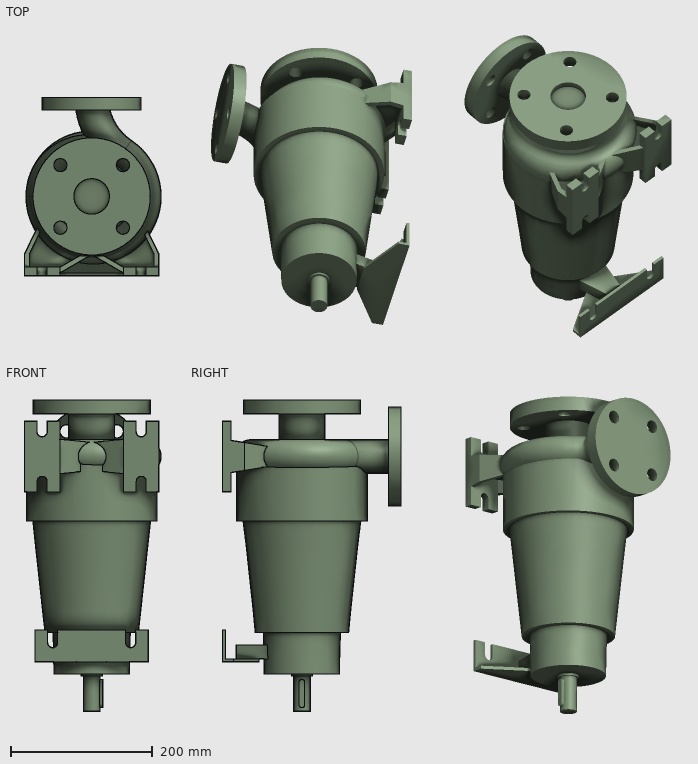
import cadquery as cq
import math


TOP = 440.0
CROWN_TOP = 376.5
DISCHARGE_Z = 360.0
CASING_SHOULDER = 363.5
CASING_BOTTOM = 269.0
LANTERN_BOTTOM = 111.5
BEARING_BOTTOM = 53.0
COLLAR_THICKNESS = 3.0

CASING_RADIUS = 92.5
CROWN_RADIUS = 57.5
LANTERN_TOP_RADIUS = 83.0
LANTERN_BOTTOM_RADIUS = 66.0
BEARING_TOP_RADIUS = 54.5
BEARING_BOTTOM_RADIUS = 53.2
COLLAR_RADIUS = 15.0
SHAFT_RADIUS = 12.0

KEY_WIDTH = 8.0
KEY_BOTTOM = 5.5
KEY_TOP = 45.5
KEY_SEAT = 7.0
KEY_REACH = 16.0

TUBE_RADIUS = 23.8
VOLUTE_CENTER_X = 2.5
VOLUTE_RADIUS = 71.5
TONGUE_RADIUS = 64.0
TONGUE_ANGLE = 120.0
DISCHARGE_Y = 140.0

SUCTION_PIPE_RADIUS = 32.5
SUCTION_FLANGE_RADIUS = 82.5
SUCTION_FLANGE_THICKNESS = 20.0
SUCTION_BOLT_CIRCLE_RADIUS = 62.5
SUCTION_BORE_RADIUS = 25.0
SUCTION_BORE_DEPTH = 9.5
DISCHARGE_FLANGE_RADIUS = 70.0
DISCHARGE_FLANGE_THICKNESS = 18.0
DISCHARGE_BOLT_CIRCLE_RADIUS = 50.0
BOLT_HOLE_DIAMETER = 18.5
BOLT_COUNT = 4

MOUNT_Y = -112.0
FOOT_OUTER_X = 95.0
FOOT_WIDTH = 50.0
FOOT_HEIGHT = 100.0
FOOT_THICKNESS = 12.5
SLOT_WIDTH = 14.0
FOOT_SLOT_DEPTH = 22.0

GUSSET_THICKNESS = 7.0
GUSSET_BEND_Y = -81.5
GUSSET_INNER_Y = -35.0
GUSSET_HALF_HEIGHT = 23.0
GUSSET_TAPER_ANGLE = 9.5
OUTER_GUSSET_ANGLE = 26.0
INNER_GUSSET_ANGLE = 30.0

BRACKET_HALF_WIDTH = 80.0
BRACKET_BOTTOM = 70.0
BRACKET_HEIGHT = 45.5
BRACKET_THICKNESS = 4.5
BRACKET_SLOT_X = 55.0
BRACKET_SLOT_DEPTH = 25.0
LEDGE_STRAIGHT_DEPTH = 16.0
LEDGE_INNER_Y = -60.5
LEDGE_INNER_HALF_WIDTH = 21.0
ARM_HEIGHT = 20.0
ARM_END_Y = -93.0
ARM_END_HALF_WIDTH = 12.8
ARM_ROOT_Y = -39.5
ARM_ROOT_HALF_WIDTH = 26.0


def extrude_outline(points, bottom, height):
    """Prism standing on the plane z = bottom over an XY outline."""
    return cq.Workplane("XY").workplane(offset=bottom).polyline(points).close().extrude(height)


def mirrored_in_x(points):
    """Outline closed by the mirror image of its right-hand half."""
    return points + [(-x, y) for x, y in reversed(points)]


def turned_body():
    collar_bottom = BEARING_BOTTOM - COLLAR_THICKNESS
    profile = [
        (0, 0),
        (SHAFT_RADIUS, 0),
        (SHAFT_RADIUS, collar_bottom),
        (COLLAR_RADIUS, collar_bottom),
        (COLLAR_RADIUS, BEARING_BOTTOM),
        (BEARING_BOTTOM_RADIUS, BEARING_BOTTOM),
        (BEARING_TOP_RADIUS, LANTERN_BOTTOM),
        (LANTERN_BOTTOM_RADIUS, LANTERN_BOTTOM),
        (LANTERN_TOP_RADIUS, CASING_BOTTOM),
        (CASING_RADIUS, CASING_BOTTOM),
        (CASING_RADIUS, CASING_SHOULDER),
        (CROWN_RADIUS, CROWN_TOP),
        (0, CROWN_TOP),
    ]
    return cq.Workplane("XZ").polyline(profile).close().revolve(360, (0, 0), (0, 1))


def shaft_key():
    return (
        cq.Workplane("YZ", origin=(KEY_SEAT, 0, (KEY_BOTTOM + KEY_TOP) / 2))
        .slot2D(KEY_TOP - KEY_BOTTOM, KEY_WIDTH, 90)
        .extrude(KEY_REACH - KEY_SEAT)
    )


def point_on_arc(center, radius, degrees):
    angle = math.radians(degrees)
    return (center[0] + radius * math.cos(angle), center[1] + radius * math.sin(angle))


def volute():
    """Round tube curling around the casing and bending out to the discharge flange."""
    main_center = (VOLUTE_CENTER_X, 0)
    tongue_center = (VOLUTE_CENTER_X - VOLUTE_RADIUS + TONGUE_RADIUS, 0)

    bend_radius = (DISCHARGE_Y**2 + VOLUTE_CENTER_X**2 - VOLUTE_RADIUS**2) / (
        2 * (VOLUTE_RADIUS + VOLUTE_CENTER_X)
    )
    bend_center = (bend_radius, DISCHARGE_Y)
    bend_angle = math.degrees(math.atan2(DISCHARGE_Y, bend_radius - VOLUTE_CENTER_X))

    tip = point_on_arc(tongue_center, TONGUE_RADIUS, 180 - TONGUE_ANGLE)
    tongue_middle = point_on_arc(tongue_center, TONGUE_RADIUS, 180 - TONGUE_ANGLE / 2)
    main_start = point_on_arc(main_center, VOLUTE_RADIUS, 180)
    main_middle = point_on_arc(main_center, VOLUTE_RADIUS, (bend_angle - 180) / 2)
    main_end = point_on_arc(main_center, VOLUTE_RADIUS, bend_angle)
    bend_middle = point_on_arc(bend_center, bend_radius, 180 + bend_angle / 2)
    outlet = (0, DISCHARGE_Y)

    def path():
        return cq.Workplane("XY", origin=(0, 0, DISCHARGE_Z)).moveTo(*main_start)

    def tube(along):
        section = cq.Workplane("XZ", origin=(*main_start, DISCHARGE_Z)).circle(TUBE_RADIUS)
        return section.sweep(along)

    tongue = tube(path().threePointArc(tongue_middle, tip))
    main_tube = tube(path().threePointArc(main_middle, main_end).threePointArc(bend_middle, outlet))
    return tongue.union(main_tube)


def flange(plane, radius, thickness, bolt_circle_radius):
    """Disc going back from its face, drilled with bolt holes midway between the plane axes."""
    disc = cq.Workplane(plane).circle(radius).extrude(-thickness)
    bolt_holes = (
        cq.Workplane(plane)
        .polarArray(bolt_circle_radius, 180 / BOLT_COUNT, 360, BOLT_COUNT)
        .circle(BOLT_HOLE_DIAMETER / 2)
        .extrude(-thickness)
    )
    return disc.cut(bolt_holes)


def suction_branch():
    pipe = (
        cq.Workplane("XY")
        .workplane(offset=CROWN_TOP)
        .circle(SUCTION_PIPE_RADIUS)
        .extrude(TOP - CROWN_TOP)
    )
    face = cq.Plane(origin=(0, 0, TOP), xDir=(1, 0, 0), normal=(0, 0, 1))
    disc = flange(face, SUCTION_FLANGE_RADIUS, SUCTION_FLANGE_THICKNESS, SUCTION_BOLT_CIRCLE_RADIUS)
    bore = cq.Workplane(face).circle(SUCTION_BORE_RADIUS).extrude(-SUCTION_BORE_DEPTH)
    return pipe.union(disc).cut(bore)


def discharge_flange():
    face = cq.Plane(origin=(0, DISCHARGE_Y, DISCHARGE_Z), xDir=(1, 0, 0), normal=(0, 1, 0))
    return flange(
        face, DISCHARGE_FLANGE_RADIUS, DISCHARGE_FLANGE_THICKNESS, DISCHARGE_BOLT_CIRCLE_RADIUS
    )


def edge_slot(x, edge_z, depth, inward, plate_thickness):
    """Cutter for a round-ended slot entering a mounting plate; inward is +1 up or -1 down."""
    half = SLOT_WIDTH / 2
    shoulder_z = edge_z + inward * (depth - half)
    return (
        cq.Workplane("XZ", origin=(0, MOUNT_Y, 0))
        .moveTo(x - half, edge_z)
        .lineTo(x - half, shoulder_z)
        .threePointArc((x, edge_z + inward * depth), (x + half, shoulder_z))
        .lineTo(x + half, edge_z)
        .close()
        .extrude(-plate_thickness)
    )


def right_foot():
    foot_x = FOOT_OUTER_X - FOOT_WIDTH / 2
    foot_center = (foot_x, MOUNT_Y + FOOT_THICKNESS / 2, DISCHARGE_Z)
    foot = cq.Workplane("XY", origin=foot_center).box(FOOT_WIDTH, FOOT_THICKNESS, FOOT_HEIGHT)
    for inward in (1, -1):
        edge_z = DISCHARGE_Z - inward * FOOT_HEIGHT / 2
        foot = foot.cut(edge_slot(foot_x, edge_z, FOOT_SLOT_DEPTH, inward, FOOT_THICKNESS))
    return foot


def right_gussets():
    """Bent outer and slanted inner plate, both lower toward the casing, with a flat web between."""
    foot_back_y = MOUNT_Y + FOOT_THICKNESS
    foot_inner_x = FOOT_OUTER_X - FOOT_WIDTH
    bottom = DISCHARGE_Z - FOOT_HEIGHT / 2

    lean = math.tan(math.radians(OUTER_GUSSET_ANGLE)) * (GUSSET_INNER_Y - GUSSET_BEND_Y)
    outer_face = [
        (FOOT_OUTER_X, foot_back_y),
        (FOOT_OUTER_X, GUSSET_BEND_Y),
        (FOOT_OUTER_X - lean, GUSSET_INNER_Y),
    ]
    inner_face = [(x - GUSSET_THICKNESS, y) for x, y in reversed(outer_face)]
    outer_plate = extrude_outline(outer_face + inner_face, bottom, FOOT_HEIGHT)

    rise = math.tan(math.radians(INNER_GUSSET_ANGLE)) * foot_inner_x
    drop = GUSSET_THICKNESS / math.cos(math.radians(INNER_GUSSET_ANGLE))
    inner_plate = extrude_outline(
        [
            (foot_inner_x, foot_back_y),
            (0, foot_back_y + rise),
            (0, foot_back_y + rise - drop),
            (foot_inner_x, foot_back_y - drop),
        ],
        bottom,
        FOOT_HEIGHT,
    )

    taper = math.tan(math.radians(GUSSET_TAPER_ANGLE))
    front_half = GUSSET_HALF_HEIGHT + taper * FOOT_THICKNESS
    back_half = GUSSET_HALF_HEIGHT - taper * (GUSSET_INNER_Y - foot_back_y)
    envelope = (
        cq.Workplane("YZ")
        .polyline(
            [
                (MOUNT_Y, DISCHARGE_Z - front_half),
                (GUSSET_INNER_Y, DISCHARGE_Z - back_half),
                (GUSSET_INNER_Y, DISCHARGE_Z + back_half),
                (MOUNT_Y, DISCHARGE_Z + front_half),
            ]
        )
        .close()
        .extrude(FOOT_OUTER_X)
    )

    web = extrude_outline(
        outer_face + [(0, GUSSET_INNER_Y), (0, foot_back_y + rise), (foot_inner_x, foot_back_y)],
        DISCHARGE_Z - GUSSET_THICKNESS / 2,
        GUSSET_THICKNESS,
    )
    return outer_plate.union(inner_plate).intersect(envelope).union(web)


def casing_feet():
    right_side = right_foot().union(right_gussets())
    return right_side.union(right_side.mirror("YZ"))


def support_bracket():
    """Slotted upright plate, tapering ledge and the arm that joins them to the bearing housing."""
    upright = extrude_outline(
        mirrored_in_x([(BRACKET_HALF_WIDTH, MOUNT_Y), (BRACKET_HALF_WIDTH, MOUNT_Y + BRACKET_THICKNESS)]),
        BRACKET_BOTTOM,
        BRACKET_HEIGHT,
    )
    for side in (1, -1):
        slot = edge_slot(
            side * BRACKET_SLOT_X,
            BRACKET_BOTTOM + BRACKET_HEIGHT,
            BRACKET_SLOT_DEPTH,
            -1,
            BRACKET_THICKNESS,
        )
        upright = upright.cut(slot)

    ledge = extrude_outline(
        mirrored_in_x(
            [
                (BRACKET_HALF_WIDTH, MOUNT_Y),
                (BRACKET_HALF_WIDTH, MOUNT_Y + LEDGE_STRAIGHT_DEPTH),
                (LEDGE_INNER_HALF_WIDTH, LEDGE_INNER_Y),
            ]
        ),
        BRACKET_BOTTOM,
        BRACKET_THICKNESS,
    )
    arm = extrude_outline(
        mirrored_in_x([(ARM_END_HALF_WIDTH, ARM_END_Y), (ARM_ROOT_HALF_WIDTH, ARM_ROOT_Y)]),
        BRACKET_BOTTOM + BRACKET_THICKNESS,
        ARM_HEIGHT,
    )
    return upright.union(ledge).union(arm)


result = (
    turned_body()
    .union(shaft_key())
    .union(volute())
    .union(suction_branch())
    .union(discharge_flange())
    .union(casing_feet())
    .union(support_bracket())
)